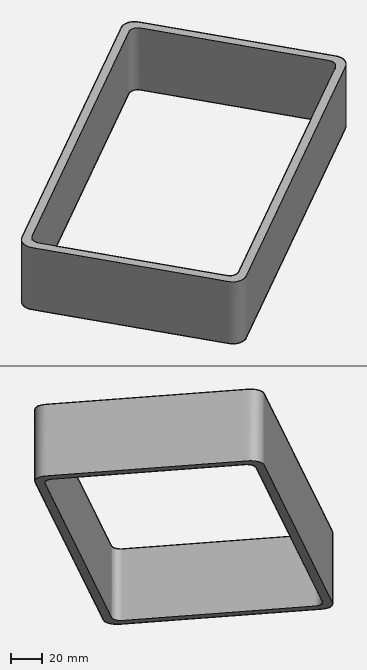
import cadquery as cq

width = 150.0
length = 250.0
height = 50.0

wall = 6.0
outer_corner_radius = 9.0
inner_corner_radius = 6.0


def rounded_block(size_x, size_y, corner_radius):
    """Full-height block with rounded vertical edges."""
    block = cq.Workplane("XY").box(size_x, size_y, height)
    return block.edges("|Z").fillet(corner_radius)


outer_block = rounded_block(width, length, outer_corner_radius)
opening = rounded_block(width - 2 * wall, length - 2 * wall, inner_corner_radius)

result = outer_block.cut(opening)